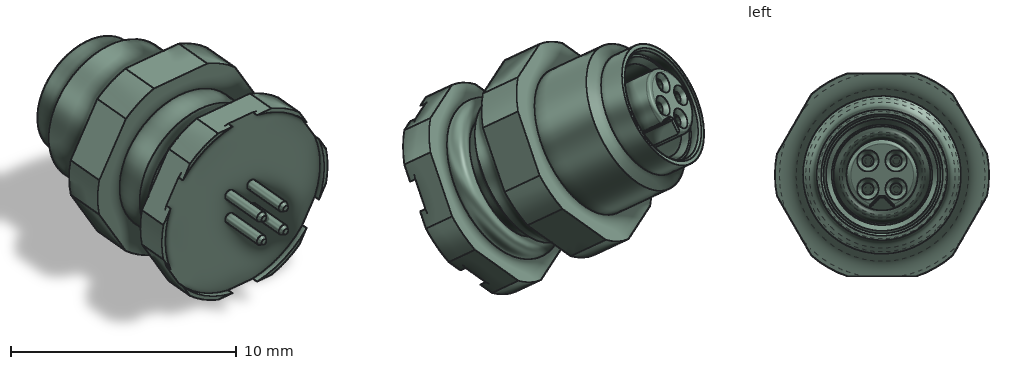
import cadquery as cq
import math


HEX_ACROSS_FLATS = 9.0
HEX_CORNER_DIAMETER = 9.5

RIM_X = 0.5
THREAD_START_X = 1.7
NUT_START_X = 5.0
NUT_LENGTH = 2.0
THREAD_END_X = 8.4
FLANGE_X = 10.0
FLANGE_THICKNESS = 1.5

RIM_DIAMETER = 5.8
THREAD_DIAMETER = 7.0
GROOVE_DIAMETER = 5.65
CHAMFER_SLOPE = math.radians(60)
GROOVE_FILLET = 0.19

OUTER_RING_TUBE = 1.0

RING_BITE = 0.007

MOUTH_DIAMETER = 5.4
COUNTERBORE_DIAMETER = 5.2
STEP_INNER_DIAMETER = 4.96
SOCKET_DIAMETER = 4.46
COUNTERBORE_DEPTH = 0.5
SOCKET_FLOOR_X = 5.0

INSERT_DIAMETER = 3.15
INSERT_FILLET = 0.19
INNER_RING_DIAMETER = 3.69
INNER_RING_TUBE = 0.61

KEY_TOP_Z = -1.0
KEY_TOP_WIDTH = 0.18
KEY_EDGE_CHAMFER = 0.08
KEY_LENGTH = 4.54

CONTACT_PITCH = 1.25
CONTACT_HOLE_DIAMETER = 0.52
CONTACT_HOLE_DEPTH = 2.72
COUNTERSINK_DIAMETER = 0.95
PIN_DIAMETER = 0.5
PIN_END_X = 13.6
PIN_TIP_LENGTH = 0.19
PIN_TIP_CHAMFER = 0.11

RECESS_DIAMETER = 9.11
RECESS_DEPTH = 0.3

FLANGE_BACK_X = FLANGE_X + FLANGE_THICKNESS
RECESS_FLOOR_X = FLANGE_BACK_X - RECESS_DEPTH


def section_at(x):
    """YZ workplane at the given X."""
    return cq.Workplane("YZ", origin=(x, 0, 0))


def disc(diameter, start_x, length):
    return section_at(start_x).circle(diameter / 2).extrude(length)


def ring(center_diameter, tube_diameter, center_x):
    return (
        cq.Workplane("XY")
        .center(center_x, center_diameter / 2)
        .circle(tube_diameter / 2)
        .revolve(360, (-center_x, -center_diameter / 2), (0.14 - center_x, -center_diameter / 2))
    )


def hex_plate(start_x, length):
    """Hexagon with flats at +Z and -Z, its corners turned to a cylinder."""
    across_corners = HEX_ACROSS_FLATS / math.cos(math.pi / 6)
    hexagon = section_at(start_x).polygon(6, across_corners).extrude(length)
    return hexagon.intersect(disc(HEX_CORNER_DIAMETER, start_x, length))


def make_shell():
    """Turned outside: rim, chamfered thread and filleted groove."""
    rim = RIM_DIAMETER / 2
    thread = THREAD_DIAMETER / 2
    groove = GROOVE_DIAMETER / 2

    front_chamfer_x = THREAD_START_X + (thread - rim) / math.tan(CHAMFER_SLOPE)

    arc_start_radius = groove + GROOVE_FILLET * (1 - math.cos(CHAMFER_SLOPE))
    arc_start_x = THREAD_END_X + (thread - arc_start_radius) / math.tan(CHAMFER_SLOPE)
    arc_end_x = arc_start_x + GROOVE_FILLET * math.sin(CHAMFER_SLOPE)
    arc_mid_x = arc_end_x - GROOVE_FILLET * math.sin(CHAMFER_SLOPE / 2)
    arc_mid_radius = groove + GROOVE_FILLET * (1 - math.cos(CHAMFER_SLOPE / 2))

    return (
        cq.Workplane("XY")
        .moveTo(RIM_X, 0)
        .lineTo(RIM_X, rim)
        .lineTo(THREAD_START_X, rim)
        .lineTo(front_chamfer_x, thread)
        .lineTo(THREAD_END_X, thread)
        .lineTo(arc_start_x, arc_start_radius)
        .threePointArc((arc_mid_x, arc_mid_radius), (arc_end_x, groove))
        .lineTo(FLANGE_X, groove)
        .lineTo(FLANGE_X, 0)
        .close()
        .revolve(360, (0, 0), (1, 0))
    )


def make_socket():
    """Stepped and tapered cavity that surrounds the insert."""
    step_x = RIM_X + COUNTERBORE_DEPTH
    mouth_taper = (MOUTH_DIAMETER - COUNTERBORE_DIAMETER) / 2
    inner_taper = (STEP_INNER_DIAMETER - SOCKET_DIAMETER) / 2
    return (
        cq.Workplane("XY")
        .moveTo(RIM_X, 0)
        .lineTo(RIM_X, MOUTH_DIAMETER / 2)
        .lineTo(RIM_X + mouth_taper, COUNTERBORE_DIAMETER / 2)
        .lineTo(step_x, COUNTERBORE_DIAMETER / 2)
        .lineTo(step_x, STEP_INNER_DIAMETER / 2)
        .lineTo(step_x + inner_taper, SOCKET_DIAMETER / 2)
        .lineTo(SOCKET_FLOOR_X, SOCKET_DIAMETER / 2)
        .lineTo(SOCKET_FLOOR_X, 0)
        .close()
        .revolve(360, (0, 0), (1, 0))
    )


def key_outline(plane, growth):
    """Keyway section with 45 degree walls, with every wall moved outwards by the growth."""
    drop = INSERT_DIAMETER / 2
    top_z = KEY_TOP_Z + growth
    half_top = KEY_TOP_WIDTH / 2 + growth * math.tan(math.pi / 8)
    return plane.polyline([
        (-half_top, top_z),
        (half_top, top_z),
        (half_top + drop, top_z - drop),
        (-half_top - drop, top_z - drop),
    ]).close()


def make_keyway():
    """Slot that opens downwards, chamfered at the insert face."""
    slot = key_outline(section_at(0), 0).extrude(KEY_LENGTH)
    entry = key_outline(section_at(0), KEY_EDGE_CHAMFER).workplane(offset=KEY_EDGE_CHAMFER)
    return slot.union(key_outline(entry, 0).loft(ruled=True))


def contact_positions():
    half = CONTACT_PITCH / 2
    return [(y, z) for y in (-half, half) for z in (-half, half)]


def make_insert():
    insert = disc(INSERT_DIAMETER, 0, SOCKET_FLOOR_X).faces("<X").edges().fillet(INSERT_FILLET)
    insert = insert.cut(make_keyway())
    countersink_depth = (COUNTERSINK_DIAMETER - CONTACT_HOLE_DIAMETER) / 2
    for y, z in contact_positions():
        hole = disc(CONTACT_HOLE_DIAMETER, 0, CONTACT_HOLE_DEPTH)
        countersink = cq.Workplane(cq.Solid.makeCone(
            COUNTERSINK_DIAMETER / 2, CONTACT_HOLE_DIAMETER / 2, countersink_depth,
            cq.Vector(0, 0, 0), cq.Vector(1, 0, 0),
        ))
        insert = insert.cut(hole.union(countersink).translate((0, y, z)))
    return insert


def make_solder_pin(y, z):
    pin = disc(PIN_DIAMETER, RECESS_FLOOR_X, PIN_END_X - RECESS_FLOOR_X)
    pin = pin.faces(">X").edges().chamfer(PIN_TIP_LENGTH, PIN_TIP_CHAMFER)
    return pin.translate((0, y, z))


def make_flange():
    recess = disc(RECESS_DIAMETER, RECESS_FLOOR_X, RECESS_DEPTH)
    return hex_plate(FLANGE_X, FLANGE_THICKNESS).cut(recess)


def make_connector():
    outer_ring_x = FLANGE_X - OUTER_RING_TUBE / 2 + RING_BITE
    outer_ring_diameter = GROOVE_DIAMETER + OUTER_RING_TUBE - 2 * RING_BITE
    inner_ring_x = SOCKET_FLOOR_X - INNER_RING_TUBE / 2 + RING_BITE

    connector = make_shell().cut(make_socket()).union(make_flange())
    connector = connector.union(ring(outer_ring_diameter, OUTER_RING_TUBE, outer_ring_x))
    connector = connector.union(make_insert())
    connector = connector.union(ring(INNER_RING_DIAMETER, INNER_RING_TUBE, inner_ring_x))
    for y, z in contact_positions():
        connector = connector.union(make_solder_pin(y, z))
    return connector


def make_nut():
    return hex_plate(NUT_START_X, NUT_LENGTH).cut(disc(THREAD_DIAMETER, NUT_START_X, NUT_LENGTH))


connector = make_connector()
nut = make_nut()

result = cq.Compound.makeCompound([connector.solids().val(), nut.solids().val()])